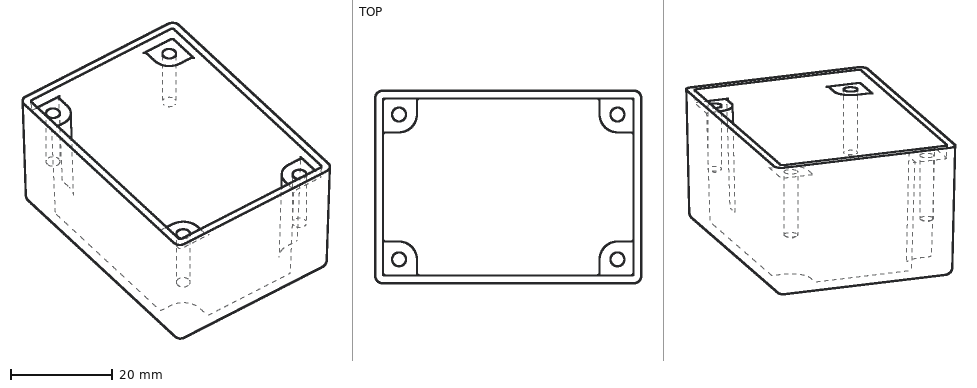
import cadquery as cq
import math

length = 52.5
width = 38.0
height = 27.0
outer_draft = 1.0
outer_radius = 1.5

wall = 1.5
floor = 1.5
inner_draft = 1.3
inner_radius = 0.4

post_drop = 2.75
post_radius = 3.5
hole_inset = 4.7
hole_diameter = 2.75
hole_depth = 13.1
drill_point_angle = 118.0

cavity_depth = height - floor
post_height = cavity_depth - post_drop
hole_x = length / 2 - hole_inset
hole_y = width / 2 - hole_inset
corner_signs = [(sign_x, sign_y) for sign_x in (-1, 1) for sign_y in (-1, 1)]

SLOPED_CORNERS = "not (#X or #Y or #Z)"


def tapered_block(size_x, size_y, depth, draft):
    """Block that hangs from the rim plane and narrows downward."""
    rim_plane = cq.Workplane("XY").workplane(offset=height)
    return rim_plane.rect(size_x, size_y).extrude(-depth, taper=draft)


def make_body():
    block = tapered_block(length, width, height, outer_draft)
    rounded_block = block.edges(SLOPED_CORNERS).fillet(outer_radius)
    return rounded_block.faces("<Z").edges().fillet(outer_radius)


def make_post(sign_x, sign_y):
    """Post that widens downward; its outer sides are buried in the walls."""
    inner_x = hole_x - post_radius
    inner_y = hole_y - post_radius
    outer_x = length / 2
    outer_y = width / 2
    arc_reach = post_radius * math.sqrt(0.5)

    def corner(x, y):
        return (sign_x * x, sign_y * y)

    return (
        cq.Workplane("XY")
        .workplane(offset=height - post_drop)
        .moveTo(*corner(outer_x, outer_y))
        .lineTo(*corner(inner_x, outer_y))
        .lineTo(*corner(inner_x, hole_y))
        .threePointArc(corner(hole_x - arc_reach, hole_y - arc_reach), corner(hole_x, inner_y))
        .lineTo(*corner(outer_x, inner_y))
        .close()
        .extrude(-post_height, taper=-inner_draft)
    )


def make_cavity():
    cavity = tapered_block(length - 2 * wall, width - 2 * wall, cavity_depth, inner_draft)
    for sign_x, sign_y in corner_signs:
        cavity = cavity.cut(make_post(sign_x, sign_y))
    upright_corners = cavity.edges("%LINE").edges(SLOPED_CORNERS)
    return upright_corners.fillet(inner_radius).faces("<Z").edges().fillet(inner_radius)


def make_screw_hole(x, y):
    """Blind drilled hole with a conical end, opening at the post top."""
    hole_radius = hole_diameter / 2
    point_depth = hole_radius / math.tan(math.radians(drill_point_angle / 2))
    return (
        cq.Workplane("XZ")
        .lineTo(hole_radius, 0)
        .lineTo(hole_radius, -hole_depth)
        .lineTo(0, -hole_depth - point_depth)
        .close()
        .revolve(360, (0, 0), (0, 1))
        .translate((x, y, height - post_drop))
    )


result = make_body().cut(make_cavity())
for sign_x, sign_y in corner_signs:
    result = result.cut(make_screw_hole(sign_x * hole_x, sign_y * hole_y))